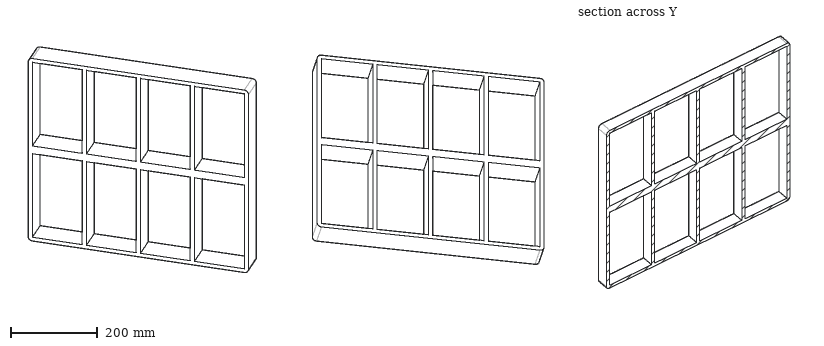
import cadquery as cq

width = 532.0
depth = 60.0
height = 476.0
corner_radius = 10.0

wall = 10.0
middle_bar = 20.0
columns = 4
rows = 2

opening_width = (width - (columns + 1) * wall) / columns
opening_height = (height - 2 * wall - (rows - 1) * middle_bar) / rows

frame = cq.Workplane("XY").box(width, depth, height).edges("|Y").fillet(corner_radius)

openings = (
    cq.Workplane("XZ")
    .rarray(opening_width + wall, opening_height + middle_bar, columns, rows)
    .rect(opening_width, opening_height)
    .extrude(depth, both=True)
)

result = frame.cut(openings)